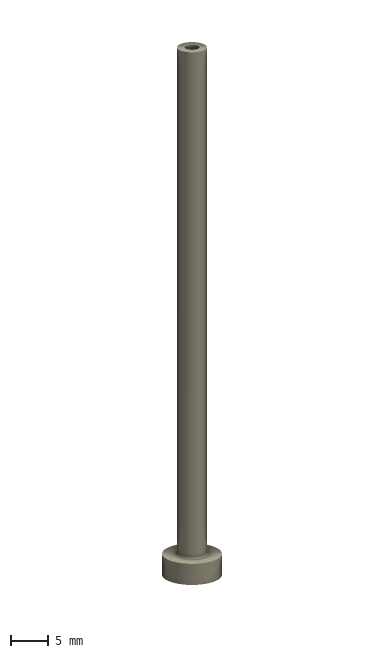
import cadquery as cq

total_length = 75
head_diameter = 8.0
head_height = 3
shaft_diameter = head_diameter / 2
bore_diameter = 2.0
root_fillet = 0.3

head = cq.Workplane("XY").circle(head_diameter / 2).extrude(head_height)

shaft = cq.Workplane("XY").circle(shaft_diameter / 2).extrude(total_length)
pin = head.union(shaft)

shaft_root = cq.selectors.RadiusNthSelector(0)
pin = pin.faces("<Z[1]").edges(shaft_root).fillet(root_fillet)

bore = cq.Workplane("XY").circle(bore_diameter / 2).extrude(total_length)
result = pin.cut(bore)